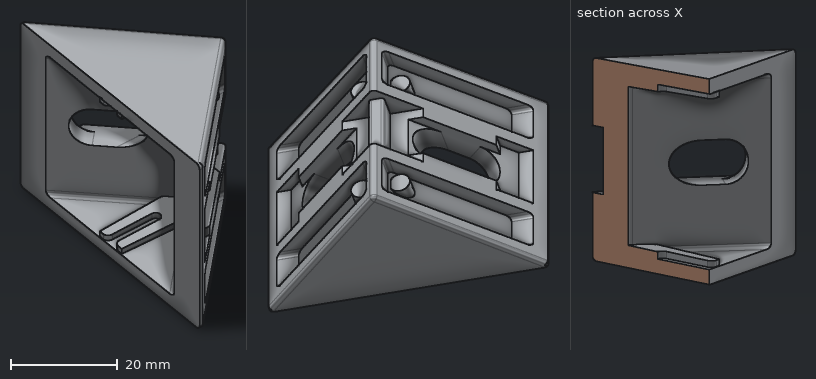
import cadquery as cq
import math

LENGTH = 54.0
HEIGHT = 40.0
EDGE_RADIUS = 1.0
LEG_DEPTH = 27.41
APEX_Y = LEG_DEPTH + EDGE_RADIUS * (math.sqrt(2) - 1)
DRAFT = math.radians(0.5)

LEG_THICKNESS = 6.0
CAVITY_HEIGHT = 34.0

BASE_BORDER = 3.0
POCKET_DEPTH = 3.0
POCKET_WEB = 3.0
POCKET_Z_MIN = 9.0
POCKET_Z_MAX = 17.0
PIN_RADIUS = 2.0
PIN_X = 3.7
PIN_Z = 12.0
PIN_TOP_Y = 21.6

CHANNEL_DEPTH = 2.0
CHANNEL_WIDTH = 8.7
RECESS_WIDTH = 12.9
FOOT_RECESS_X = 19.1

NOTCH_FLOOR_Y = 20.0
FIN_TOP_Y = 24.9
FIN_THICKNESS = 3.0
FIN_RADIUS = 0.6

BORE_RADIUS = CHANNEL_WIDTH / 2
UPPER_BORE_X = 10.0
LOWER_BORE_X = 13.2

PLATE_FRONT_WIDTH = 6.6
PLATE_SIDE_TAPER = math.radians(2.0)
PLATE_FRONT_Y = 0.2
PLATE_FRONT_Z = 15.75
PLATE_SLOPE = math.radians(1.2)
PLATE_SLOT_WIDTH = 2.2
PLATE_SLOT_END_Y = 12.0
PLATE_MOUTH_RADIUS = 1.2

REACH = 60.0
TOLERANCE = 0.01


def apex_at_depth(depth):
    """Y of the apex formed by the leg faces after moving them inward by depth."""
    return APEX_Y - depth * math.sqrt(2)


def above_base(edge):
    """True for every edge that does not lie in the base plane."""
    return edge.Center().y > TOLERANCE


def prism(points, z_min, z_max):
    """Extrude an XY outline between two heights."""
    return cq.Workplane("XY").workplane(offset=z_min).polyline(points).close().extrude(z_max - z_min)


def drafted_slab(half_height, y_max):
    """Slab whose half height shrinks with the draft as y grows."""
    tip_half = half_height - y_max * math.tan(DRAFT)
    points = [(0, half_height), (y_max, tip_half), (y_max, -tip_half), (0, -half_height)]
    return cq.Workplane("YZ").polyline(points).close().extrude(REACH, both=True)


def make_body():
    half_length = LENGTH / 2
    side_height = APEX_Y - half_length
    outline = [
        (-half_length, 0),
        (-half_length, side_height),
        (0, APEX_Y),
        (half_length, side_height),
        (half_length, 0),
    ]
    body = prism(outline, -HEIGHT / 2, HEIGHT / 2).intersect(drafted_slab(HEIGHT / 2, APEX_Y))
    tip_edge = body.edges("|Z and >Y").vals()
    sloping_edges = body.edges("not |Z").filter(above_base).vals()
    return body.newObject(tip_edge + sloping_edges).fillet(EDGE_RADIUS)


def make_cavity():
    apex = apex_at_depth(LEG_THICKNESS)
    cavity = prism([(-apex, 0), (0, apex), (apex, 0)], -CAVITY_HEIGHT / 2, CAVITY_HEIGHT / 2)
    cavity = cavity.intersect(drafted_slab(CAVITY_HEIGHT / 2, apex))
    return cavity.edges().filter(above_base).fillet(EDGE_RADIUS)


def make_plate():
    """Slotted plate on the +Z wall of the cavity."""
    back_y = apex_at_depth(LEG_THICKNESS) + EDGE_RADIUS
    length = back_y - PLATE_FRONT_Y
    front_half = PLATE_FRONT_WIDTH / 2
    back_half = front_half + length * math.tan(PLATE_SIDE_TAPER)
    root_z = CAVITY_HEIGHT / 2 + EDGE_RADIUS
    profile = [
        (PLATE_FRONT_Y, root_z),
        (PLATE_FRONT_Y, PLATE_FRONT_Z),
        (back_y, PLATE_FRONT_Z - length * math.tan(PLATE_SLOPE)),
        (back_y, root_z),
    ]
    outline = [
        (-front_half, PLATE_FRONT_Y),
        (-back_half, back_y),
        (back_half, back_y),
        (front_half, PLATE_FRONT_Y),
    ]
    plate = cq.Workplane("YZ").polyline(profile).close().extrude(back_half, both=True)
    plate = plate.intersect(prism(outline, 0, HEIGHT))
    slot_radius = PLATE_SLOT_WIDTH / 2
    arc_start_y = PLATE_SLOT_END_Y - slot_radius
    slot = (
        cq.Workplane("XY")
        .moveTo(-slot_radius, -REACH)
        .lineTo(-slot_radius, arc_start_y)
        .threePointArc((0, PLATE_SLOT_END_Y), (slot_radius, arc_start_y))
        .lineTo(slot_radius, -REACH)
        .close()
        .extrude(REACH)
    )
    plate = plate.cut(slot)
    front_edges = plate.edges("|Z and <Y")
    mouth_edges = front_edges.filter(lambda e: abs(e.Center().x) < slot_radius + TOLERANCE)
    return mouth_edges.fillet(PLATE_MOUTH_RADIUS)


def make_pocket():
    """Pocket in the upper half of the -X leg, with its pin left standing."""
    apex = apex_at_depth(POCKET_DEPTH)
    web_x = -POCKET_WEB / 2
    outline = [
        (web_x, REACH),
        (web_x, apex + web_x),
        (BASE_BORDER - apex, BASE_BORDER),
        (-REACH, BASE_BORDER),
        (-REACH, REACH),
    ]
    pocket = prism(outline, POCKET_Z_MIN, POCKET_Z_MAX)
    end_edges = pocket.faces(">X").edges("|Y").add(pocket.faces("<Y").edges("|X"))
    pocket = end_edges.fillet(EDGE_RADIUS)
    pin = cq.Workplane("XY").circle(PIN_RADIUS).extrude(PIN_TOP_Y)
    pin = pin.rotate((0, 0, 0), (1, 0, 0), -90).translate((-PIN_X, 0, PIN_Z))
    return pocket.cut(pin)


def make_channel():
    """Narrow channel along the -X leg, widened near the foot."""
    apex = apex_at_depth(CHANNEL_DEPTH)
    foot = [
        (-FOOT_RECESS_X, apex - FOOT_RECESS_X),
        (BASE_BORDER - apex, BASE_BORDER),
        (-REACH, BASE_BORDER),
        (-FOOT_RECESS_X, REACH),
    ]
    run = [
        (NOTCH_FLOOR_Y - apex, NOTCH_FLOOR_Y),
        (BASE_BORDER - apex, BASE_BORDER),
        (-REACH, BASE_BORDER),
        (-REACH, NOTCH_FLOOR_Y),
    ]
    channel = prism(run, -CHANNEL_WIDTH / 2, CHANNEL_WIDTH / 2)
    return channel.union(prism(foot, -RECESS_WIDTH / 2, RECESS_WIDTH / 2))


def make_tip_notch():
    half_width = RECESS_WIDTH / 2
    notch = cq.Workplane("XY").box(LENGTH, REACH, RECESS_WIDTH).translate((0, NOTCH_FLOOR_Y + REACH / 2, 0))
    half_fin = FIN_THICKNESS / 2
    fin_outline = [(-half_fin, 0), (-half_fin, FIN_TOP_Y), (half_fin, FIN_TOP_Y), (half_fin, 0)]
    fin = prism(fin_outline, -half_width, half_width).edges("|Z and >Y").fillet(FIN_RADIUS)
    return notch.cut(fin)


def make_screw_opening():
    """Opening through the -X leg."""
    face_y = apex_at_depth(LEG_THICKNESS) - LOWER_BORE_X
    meet_y = face_y - (LOWER_BORE_X - UPPER_BORE_X)
    meeting_point = cq.Vector(-UPPER_BORE_X, meet_y, 0)
    upper = cq.Solid.makeCylinder(BORE_RADIUS, REACH, meeting_point, cq.Vector(0, 1, 0))
    lower = cq.Solid.makeCylinder(BORE_RADIUS, REACH, meeting_point, cq.Vector(-1, 1, 0))
    between = prism(
        [
            (-UPPER_BORE_X, meet_y),
            (-UPPER_BORE_X, meet_y + REACH),
            (-UPPER_BORE_X - REACH, meet_y + REACH),
        ],
        -BORE_RADIUS,
        BORE_RADIUS,
    )
    return between.union(cq.Workplane(upper)).union(cq.Workplane(lower))


def both_legs(cutter):
    return cutter.union(cutter.mirror("YZ"))


plate = make_plate()
cavity = make_cavity().cut(plate).cut(plate.mirror("XY"))
pocket = make_pocket()

result = (
    make_body()
    .cut(cavity)
    .cut(both_legs(pocket))
    .cut(both_legs(pocket.mirror("XY")))
    .cut(both_legs(make_channel()))
    .cut(make_tip_notch())
    .cut(both_legs(make_screw_opening()))
)